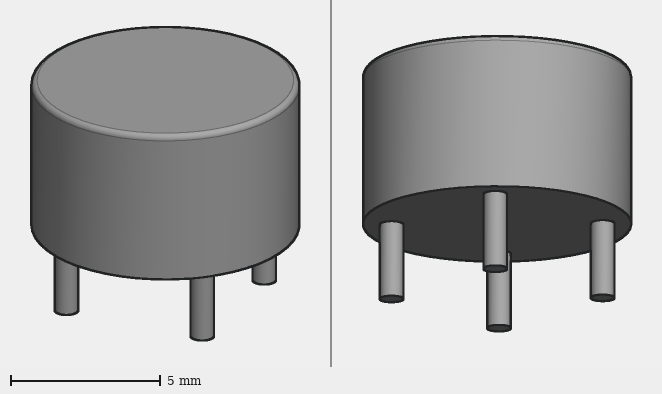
import cadquery as cq

body_diameter = 9.0
total_height = 7.9
pin_length = 2.6
body_height = total_height - pin_length
top_edge_radius = 0.2

pin_diameter = 0.8
pin_spacing = 5.0


def make_body():
    """Cylinder standing on the XY plane, with a rounded top edge."""
    cylinder = cq.Workplane("XY").circle(body_diameter / 2).extrude(body_height)
    return cylinder.faces(">Z").edges().fillet(top_edge_radius)


def add_pins(body):
    """Four straight pins hanging from the bottom face."""
    return (
        body.faces("<Z")
        .workplane(origin=(0, 0, 0))
        .rarray(pin_spacing, pin_spacing, 2, 2)
        .circle(pin_diameter / 2)
        .extrude(pin_length)
    )


result = add_pins(make_body())